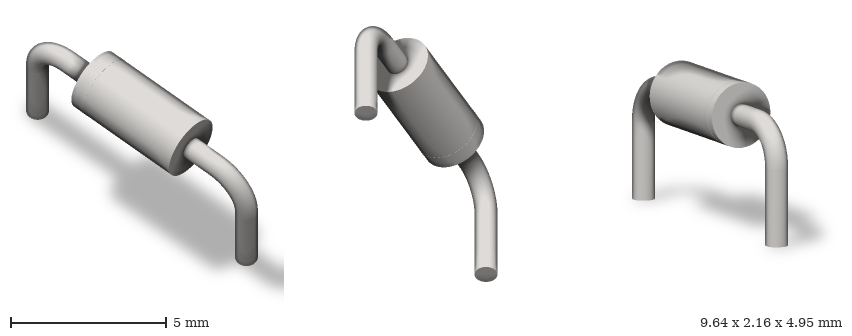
import cadquery as cq

span = 9.64
body_diameter = 2.15
body_length = 4.16
lead_diameter = 0.74
bend_radius = 1.29
lead_drop = 3.87

band_diameter = 2.16
band_width = 0.21
band_offset = 0.32
band_depth = 0.05

body_left = -body_length / 2
band_left = body_left + band_offset
groove_diameter = body_diameter - 2 * band_depth
lead_x = (span - lead_diameter) / 2


def disc(left, length, diameter):
    """Solid cylinder along X, starting at the given X position."""
    return cq.Workplane("YZ", origin=(left, 0, 0)).circle(diameter / 2).extrude(length)


def ring(inner_diameter, outer_diameter):
    """Ring around the body axis, as wide as the marking band."""
    outer = disc(band_left, band_width, outer_diameter)
    return outer.cut(disc(band_left, band_width, inner_diameter))


def make_body():
    """Cylindrical body with a shallow groove for the marking band."""
    groove = ring(groove_diameter, band_diameter)
    return disc(body_left, body_length, body_diameter).cut(groove)


def make_band():
    """Marking band that fills the groove."""
    return ring(groove_diameter, band_diameter)


def make_lead(side):
    """Round wire from the body end, bent down; side is -1 for left and 1 for right."""
    start_x = side * body_length / 2
    bend_x = side * (lead_x - bend_radius)
    path = (
        cq.Workplane("XZ")
        .moveTo(start_x, 0)
        .lineTo(bend_x, 0)
        .tangentArcPoint((side * lead_x, -bend_radius), relative=False)
        .lineTo(side * lead_x, -lead_drop)
    )
    return cq.Workplane("YZ", origin=(start_x, 0, 0)).circle(lead_diameter / 2).sweep(path)


body = make_body()
band = make_band()
leads = [make_lead(side) for side in (-1, 1)]

result = cq.Compound.makeCompound([body.val(), band.val(), *[lead.val() for lead in leads]])